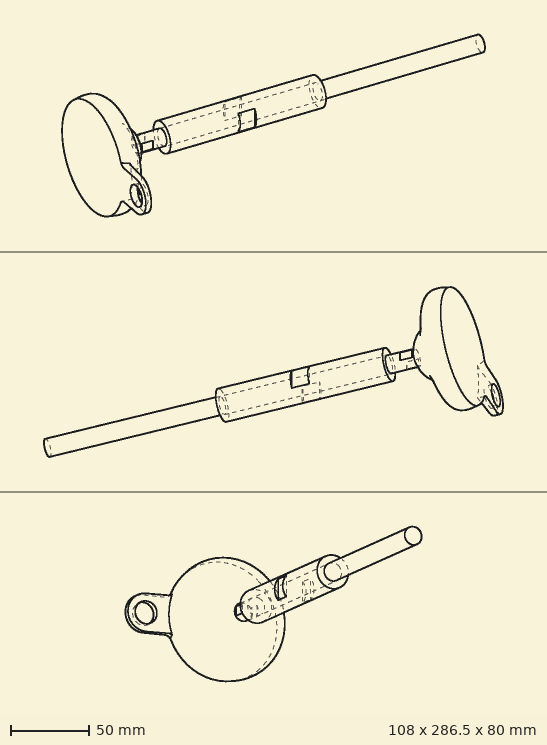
import cadquery as cq
import math


TOTAL_LENGTH = 286.5
TOTAL_WIDTH = 108.0

PAD_DIAMETER = 80.0
PAD_RADIUS = PAD_DIAMETER / 2
UNDERSIDE_RADIUS = 39.0
RIM_LOW = 6.0
RIM_HIGH = 8.5
SHOULDER_RADIUS = 35.2
SHOULDER_HEIGHT = 15.5
WAIST_RADIUS = 19.8
WAIST_HEIGHT = 21.8
DOME_BASE_RADIUS = 17.5
DOME_BASE_HEIGHT = 23.5
DOME_TOP_RADIUS = 9.5
DOME_TOP_HEIGHT = 30.7
DOME_BULGE = 0.5
PAD_HEIGHT = 32.0

LUG_TIP = TOTAL_WIDTH - PAD_RADIUS
LUG_WIDTH = 25.0
LUG_ROOT_THICKNESS = 5.7
LUG_TIP_THICKNESS = 4.0
LUG_HOLE_DIAMETER = 15.0
LUG_ROOT_FILLET = 5.0
LUG_END_RADIUS = LUG_WIDTH / 2
LUG_HOLE_X = LUG_TIP - LUG_END_RADIUS

SPINDLE_DIAMETER = 12.0
SPINDLE_ACROSS_FLATS = 10.3
SPINDLE_FLAT_START = 33.2
SPINDLE_FLAT_LENGTH = 8.3

SLEEVE_DIAMETER = 22.0
SLEEVE_START = 51.3
SLEEVE_LENGTH = 115.0
SLEEVE_ACROSS_FLATS = 17.2
SLEEVE_FLAT_LENGTH = 12.0
SLEEVE_FLAT_START = SLEEVE_START + (SLEEVE_LENGTH - SLEEVE_FLAT_LENGTH) / 2


def cylinder_along_y(diameter, start, length):
    """Solid cylinder on the Y axis, running from start towards +Y."""
    plane = cq.Plane(origin=(0, start, 0), xDir=(1, 0, 0), normal=(0, 1, 0))
    return cq.Workplane(plane).circle(diameter / 2).extrude(length)


def cut_flats(body, diameter, across_flats, start, length):
    """Cut two opposite wrench flats, facing -X and +X."""
    depth = (diameter - across_flats) / 2
    for side in (-1, 1):
        cutter = cq.Workplane("XY").box(depth, length, diameter)
        center_x = side * (across_flats + depth) / 2
        body = body.cut(cutter.translate((center_x, start + length / 2, 0)))
    return body


def make_pad_disc():
    """Turned pad: tapered rim, rounded shoulder, sloping top and domed neck."""
    inset = PAD_RADIUS - SHOULDER_RADIUS
    rise = SHOULDER_HEIGHT - RIM_HIGH
    dome_middle = (
        (DOME_BASE_RADIUS + DOME_TOP_RADIUS) / 2 + DOME_BULGE,
        (DOME_BASE_HEIGHT + DOME_TOP_HEIGHT) / 2 + DOME_BULGE,
    )
    return (
        cq.Workplane("XY")
        .lineTo(UNDERSIDE_RADIUS, 0)
        .lineTo(PAD_RADIUS, RIM_LOW)
        .lineTo(PAD_RADIUS, RIM_HIGH)
        .tangentArcPoint((-inset, rise))
        .lineTo(WAIST_RADIUS, WAIST_HEIGHT)
        .lineTo(DOME_BASE_RADIUS, DOME_BASE_HEIGHT)
        .threePointArc(dome_middle, (DOME_TOP_RADIUS, DOME_TOP_HEIGHT))
        .lineTo(SPINDLE_DIAMETER / 2, PAD_HEIGHT)
        .lineTo(0, PAD_HEIGHT)
        .close()
        .revolve(360, (0, 0, 0), (0, 1, 0))
    )


def make_lug():
    """Lug with a round end, flared root, and a top face sloping to the tip."""
    fillet_z = LUG_END_RADIUS + LUG_ROOT_FILLET
    fillet_x = math.sqrt((UNDERSIDE_RADIUS + LUG_ROOT_FILLET) ** 2 - fillet_z ** 2)
    root_angle = math.atan2(fillet_z, fillet_x)
    root_x = UNDERSIDE_RADIUS * math.cos(root_angle)
    root_z = UNDERSIDE_RADIUS * math.sin(root_angle)
    middle_angle = (root_angle + math.pi / 2) / 2 + math.pi
    fillet_middle_x = fillet_x + LUG_ROOT_FILLET * math.cos(middle_angle)
    fillet_middle_z = fillet_z + LUG_ROOT_FILLET * math.sin(middle_angle)
    plane = cq.Plane(origin=(0, 0, 0), xDir=(1, 0, 0), normal=(0, -1, 0))
    outline = (
        cq.Workplane(plane)
        .lineTo(root_x, root_z)
        .threePointArc((fillet_middle_x, fillet_middle_z), (fillet_x, LUG_END_RADIUS))
        .lineTo(LUG_HOLE_X, LUG_END_RADIUS)
        .threePointArc((LUG_TIP, 0), (LUG_HOLE_X, -LUG_END_RADIUS))
        .lineTo(fillet_x, -LUG_END_RADIUS)
        .threePointArc((fillet_middle_x, -fillet_middle_z), (root_x, -root_z))
        .close()
        .extrude(-LUG_ROOT_THICKNESS)
    )
    side_profile = (
        cq.Workplane("XY")
        .lineTo(LUG_TIP, 0)
        .lineTo(LUG_TIP, LUG_TIP_THICKNESS)
        .lineTo(PAD_RADIUS, LUG_ROOT_THICKNESS)
        .lineTo(0, LUG_ROOT_THICKNESS)
        .close()
        .extrude(PAD_RADIUS, both=True)
    )
    hole = cylinder_along_y(LUG_HOLE_DIAMETER, 0, LUG_ROOT_THICKNESS)
    return outline.intersect(side_profile).cut(hole.translate((LUG_HOLE_X, 0, 0)))


def make_pad():
    return make_pad_disc().union(make_lug())


def make_spindle():
    """Plain rod from the top of the pad to the far end, with two wrench flats."""
    rod = cylinder_along_y(SPINDLE_DIAMETER, PAD_HEIGHT, TOTAL_LENGTH - PAD_HEIGHT)
    return cut_flats(
        rod, SPINDLE_DIAMETER, SPINDLE_ACROSS_FLATS, SPINDLE_FLAT_START, SPINDLE_FLAT_LENGTH
    )


def make_sleeve():
    """Tube around the spindle, with wrench flats at mid-length."""
    outside = cylinder_along_y(SLEEVE_DIAMETER, SLEEVE_START, SLEEVE_LENGTH)
    bore = cylinder_along_y(SPINDLE_DIAMETER, SLEEVE_START, SLEEVE_LENGTH)
    return cut_flats(
        outside.cut(bore), SLEEVE_DIAMETER, SLEEVE_ACROSS_FLATS, SLEEVE_FLAT_START, SLEEVE_FLAT_LENGTH
    )


pad = make_pad()
spindle = make_spindle()
sleeve = make_sleeve()

result = cq.Compound.makeCompound([pad.val(), spindle.val(), sleeve.val()])